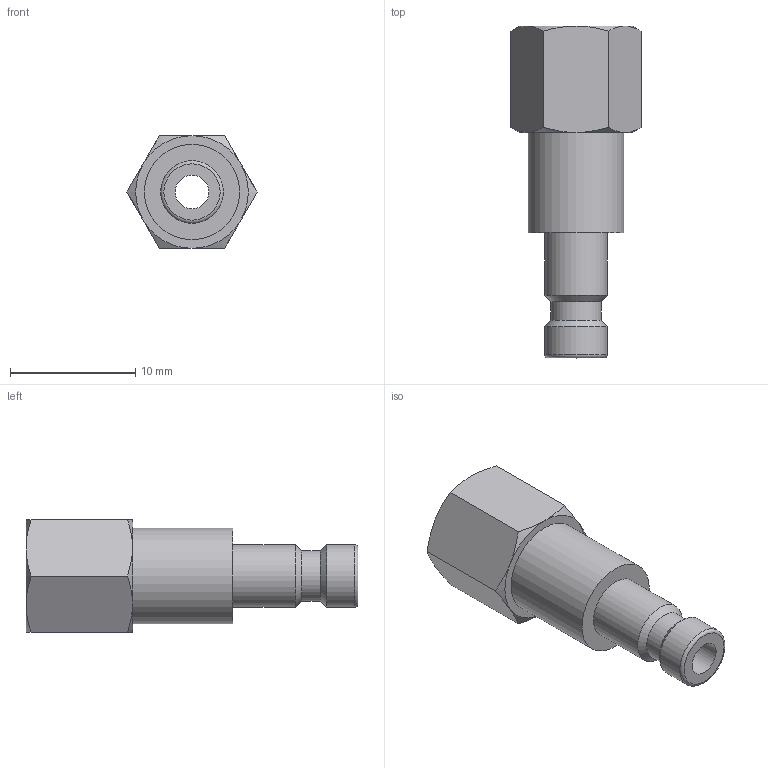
import cadquery as cq
import math

HEX_ACROSS_FLATS = 9.0
HEX_LENGTH = 8.5
HEX_SIDES = 6
HEX_CHAMFER_ANGLE = 30.0

COLLAR_DIAMETER = 7.6
COLLAR_LENGTH = 8.0

STEM_DIAMETER = 5.0
STEM_LENGTH = 10.0
TIP_FILLET_RADIUS = 0.25

GROOVE_DIAMETER = 4.0
GROOVE_START = 2.5
GROOVE_WIDTH = 2.5

BORE_DIAMETER = 2.7

COLLAR_START = STEM_LENGTH
HEX_START = COLLAR_START + COLLAR_LENGTH
TOTAL_LENGTH = HEX_START + HEX_LENGTH


def revolve_about_y(profile):
    """Turn a closed list of (radius, y) points into a solid around the Y axis."""
    return cq.Workplane("XY").polyline(profile).close().revolve(360, (0, 0, 0), (0, 1, 0))


def hexagon():
    """Hexagon with flats facing +Z and -Z, its corners chamfered at both ends."""
    corner_diameter = HEX_ACROSS_FLATS / math.cos(math.pi / HEX_SIDES)
    flat_radius = HEX_ACROSS_FLATS / 2
    corner_radius = corner_diameter / 2
    chamfer_depth = (corner_radius - flat_radius) * math.tan(math.radians(HEX_CHAMFER_ANGLE))
    prism = (
        cq.Workplane("XZ", origin=(0, TOTAL_LENGTH, 0))
        .polygon(HEX_SIDES, corner_diameter)
        .extrude(HEX_LENGTH)
    )
    envelope = revolve_about_y([
        (0, HEX_START),
        (flat_radius, HEX_START),
        (corner_radius, HEX_START + chamfer_depth),
        (corner_radius, TOTAL_LENGTH - chamfer_depth),
        (flat_radius, TOTAL_LENGTH),
        (0, TOTAL_LENGTH),
    ])
    return prism.intersect(envelope)


def collar_and_stem():
    """Round collar and the thinner stem with its locking groove and rounded tip."""
    stem_radius = STEM_DIAMETER / 2
    groove_radius = GROOVE_DIAMETER / 2
    collar_radius = COLLAR_DIAMETER / 2
    flank = stem_radius - groove_radius
    groove_end = GROOVE_START + GROOVE_WIDTH
    body = revolve_about_y([
        (0, 0),
        (stem_radius, 0),
        (stem_radius, GROOVE_START),
        (groove_radius, GROOVE_START + flank),
        (groove_radius, groove_end - flank),
        (stem_radius, groove_end),
        (stem_radius, COLLAR_START),
        (collar_radius, COLLAR_START),
        (collar_radius, HEX_START),
        (0, HEX_START),
    ])
    return body.faces("<Y").edges().fillet(TIP_FILLET_RADIUS)


def bore():
    """Through bore along the whole axis."""
    return cq.Workplane("XZ").circle(BORE_DIAMETER / 2).extrude(-TOTAL_LENGTH)


result = hexagon().union(collar_and_stem()).cut(bore())